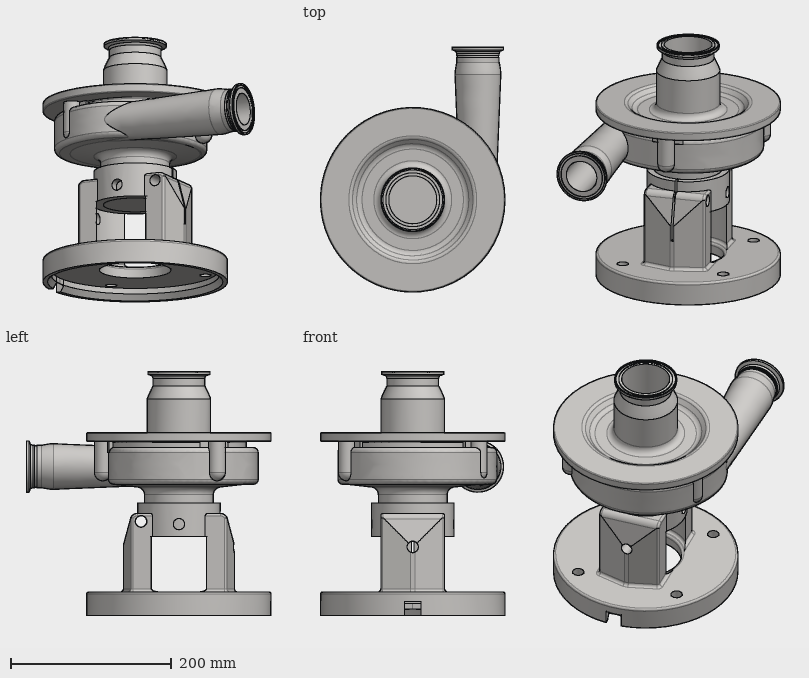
import cadquery as cq
import math


disc_radius = 115.0
base_height = 29.3
base_edge_round = 2.7
base_bore_radius = 44.5
base_bore_round = 3.0
bolt_hole_radius = 7.0
base_bolt_circle = 92.5
recess_radius = 104.3
recess_depth = 15.0
recess_chamfer_width = 5.0
recess_chamfer_height = 8.0
drain_width = 20.0
drain_height = 17.5

ring_radius = 51.5
ring_bottom = 98.2
ring_top = 140.3
spigot_radius = 39.5
ring_hole_height = 113.8
leg_top = 127.2
leg_half_width = 39.8
leg_reach = 69.2
leg_ridge_half_width = 2.7
leg_face_angle = 15.0
leg_slope_start = 87.5
leg_corner_round = 3.0
leg_top_round = 9.0
leg_foot_round = 4.0
leg_relief_radius = 52.5
leg_hole_height = 85.5
clamp_bolt_offset = 47.12
clamp_bolt_height = 117.0
slit_width = 2.7
slit_bottom = 67.0

neck_radius = 43.0
neck_fillet_bottom = 150.5
hub_radius = 51.5
hub_bottom = 159.8
volute_bottom = 163.2
volute_top = 209.2
volute_round = 6.5
volute_start_radius = 87.5
volute_end_radius = 104.5
tongue_radius = 94.5
cup_radius = 84.0
cup_fillet = 1.5

plate_bottom = 217.0
plate_top = 227.5
plate_edge_round = 1.2
dish_radius = 79.5
dish_wall_outer = 75.0
dish_wall_inner = 69.8
dish_floor_radius = 63.0
rim_rise = (dish_radius - dish_wall_outer) * math.tan(math.radians(22.5))
floor_rise = (dish_wall_inner - dish_floor_radius) * math.tan(math.radians(22.5))
plate_floor = plate_top - rim_rise - (dish_wall_outer - dish_wall_inner) - floor_rise
boss_circle = 94.7
boss_radius = 10.52
boss_end_height = 178.0
boss_angles = (90, 210, 330)
pad_radius = 21.5
pad_limit_radius = 89.5

swell_end = 34.0
swell_bulge = 0.45
flange_rim = 3.5
flange_taper_end = 5.2
flange_neck_end = 8.2
flange_neck_flare = 1.2
groove_depth = 1.2

inlet_top = 303.5
inlet_rim_radius = 38.7
inlet_tube_radius = 32.3
inlet_tube_length = 17.7
inlet_pipe_radius = 39.5
inlet_root_radius = 48.5
inlet_bore_radius = 30.0
inlet_groove_inner = 33.5
inlet_groove_outer = 37.2

outlet_x = 81.0
outlet_z = 185.5
outlet_end = 190.0
outlet_rim_radius = 32.0
outlet_tube_radius = 26.5
outlet_tube_length = 19.0
outlet_pipe_radius = 28.7
outlet_root_radius = 22.3
outlet_bore_radius = 19.8
outlet_groove_inner = 26.8
outlet_groove_outer = 30.0
seam_start = 10.5
seam_end = 13.0
seam_depth = 0.5


def cylinder(radius, bottom, top):
    return cq.Workplane("XY").workplane(offset=bottom).circle(radius).extrude(top - bottom)


def cross_hole(plane, origin, length):
    """Bolt hole along the normal of a plane, starting at the origin point."""
    return cq.Workplane(plane, origin=origin).circle(bolt_hole_radius).extrude(length)



def make_base():
    base = cylinder(disc_radius, 0, base_height).faces(">Z").edges().fillet(base_edge_round)
    recess = cq.Workplane("XZ").polyline([
        (0, 0),
        (recess_radius + recess_chamfer_width, 0),
        (recess_radius, recess_chamfer_height),
        (recess_radius, recess_depth),
        (0, recess_depth),
    ]).close().revolve(360, (0, 0, 0), (0, 1, 0))
    drain = cq.Workplane("XY").box(
        drain_width, disc_radius - recess_radius + 3, drain_height, centered=(True, False, False)
    ).translate((0, -disc_radius - 3, 0))
    return base.cut(recess).cut(drain)


def make_base_bore():
    """Cutter for the central bore, flaring out to leave a rounded top edge."""
    mouth_radius = base_bore_radius + base_bore_round
    arc_dip = base_bore_round * math.sin(math.radians(45))
    return (
        cq.Workplane("XZ")
        .lineTo(base_bore_radius, 0)
        .lineTo(base_bore_radius, base_height - base_bore_round)
        .threePointArc(
            (mouth_radius - arc_dip, base_height - base_bore_round + arc_dip),
            (mouth_radius, base_height),
        )
        .lineTo(0, base_height)
        .close()
        .revolve(360, (0, 0, 0), (0, 1, 0))
    )


def make_leg():
    """Leg on the -Y side: five-sided plan with a sloping top facet."""
    lean = math.tan(math.radians(leg_face_angle))
    shoulder = leg_reach - (leg_half_width - leg_ridge_half_width) * lean
    leg = cq.Workplane("XY").workplane(offset=base_height).polyline([
        (-leg_half_width, 0),
        (-leg_half_width, -shoulder),
        (-leg_ridge_half_width, -leg_reach),
        (leg_ridge_half_width, -leg_reach),
        (leg_half_width, -shoulder),
        (leg_half_width, 0),
    ]).close().extrude(leg_top - base_height)

    rise = leg_top - leg_slope_start
    slope = cq.Workplane("YZ", origin=(-leg_half_width, 0, 0)).polyline([
        (-leg_reach, leg_slope_start),
        (-leg_reach + rise * lean, leg_top),
        (-leg_reach, leg_top),
    ]).close().extrude(2 * leg_half_width)
    leg = leg.cut(slope)

    top_edge = cq.selectors.NearestToPointSelector((0, -leg_reach + rise * lean, leg_top))
    leg = leg.edges(top_edge).fillet(leg_top_round)
    outer_corners = cq.selectors.BoxSelector(
        (-disc_radius, -disc_radius, base_height + 3), (disc_radius, -3, leg_top + 3)
    )
    leg = leg.faces("<X or >X").edges(outer_corners).fillet(leg_corner_round)
    relief = cylinder(leg_relief_radius, base_height, ring_bottom)
    ring_space = cylinder(spigot_radius, ring_bottom, leg_top)
    return leg.cut(relief).cut(ring_space)


def make_bracket():
    bracket = make_base()
    for turn in (0, 180):
        bracket = bracket.union(make_leg().rotate((0, 0, 0), (0, 0, 1), turn))

    base_top = bracket.faces(cq.selectors.NearestToPointSelector((0, 0, base_height)))
    near_foot = cq.selectors.BoxSelector(
        (-disc_radius, -disc_radius, base_height - 0.3), (disc_radius, -3, base_height + 0.3)
    )
    far_foot = cq.selectors.BoxSelector(
        (-disc_radius, 3, base_height - 0.3), (disc_radius, disc_radius, base_height + 0.3)
    )
    bracket = base_top.edges(near_foot + far_foot).fillet(leg_foot_round)

    ring = cylinder(ring_radius, ring_bottom, ring_top)
    bracket = bracket.union(ring)
    bracket = bracket.cut(cylinder(spigot_radius, ring_bottom, ring_top))
    bracket = bracket.cut(make_base_bore())

    base_holes = cq.Workplane("XY").polarArray(base_bolt_circle, 45, 360, 4)
    bracket = bracket.cut(base_holes.circle(bolt_hole_radius).extrude(base_height))
    bracket = bracket.cut(cross_hole("YZ", (-disc_radius, 0, ring_hole_height), 2 * disc_radius))
    bracket = bracket.cut(cross_hole("XZ", (0, 0, leg_hole_height), disc_radius))
    clamp_start = (-disc_radius, clamp_bolt_offset, clamp_bolt_height)
    bracket = bracket.cut(cross_hole("YZ", clamp_start, 2 * disc_radius))

    slit = cq.Workplane("XY").box(
        slit_width, disc_radius, ring_top - slit_bottom, centered=(True, False, False)
    ).translate((0, 0, slit_bottom))
    return bracket.cut(slit)



def make_volute():
    """Casing whose radius grows steadily over three quarter turns, then closes at the tongue."""
    growth = (volute_end_radius - volute_start_radius) / 270
    outline = []
    for angle in range(90, 361, 30):
        radius = volute_start_radius + growth * (angle - 90)
        outline.append((radius, angle))
    outline.append((tongue_radius, 405))
    points = []
    for radius, angle in outline:
        turn = math.radians(angle)
        points.append((radius * math.cos(turn), radius * math.sin(turn)))
    volute = cq.Workplane("XY").workplane(offset=volute_bottom).spline(points, periodic=True).close()
    volute = volute.extrude(volute_top - volute_bottom)
    return volute.edges().fillet(volute_round)


def make_hub():
    """Shallow cone under the casing, the neck below it and the spigot in the clamp ring."""
    cone_radius = volute_start_radius - volute_round
    return (
        cq.Workplane("XZ")
        .moveTo(0, volute_bottom + 3)
        .lineTo(cone_radius, volute_bottom + 3)
        .lineTo(cone_radius, volute_bottom)
        .lineTo(hub_radius, hub_bottom)
        .tangentArcPoint((neck_radius, neck_fillet_bottom), relative=False)
        .lineTo(neck_radius, ring_top)
        .lineTo(spigot_radius, ring_top)
        .lineTo(spigot_radius, ring_bottom)
        .lineTo(0, ring_bottom)
        .close()
        .revolve(360, (0, 0, 0), (0, 1, 0))
    )


def make_plate():
    """Mounting plate with its dished recess, carried by a cup on top of the casing."""
    plate = cylinder(disc_radius, plate_bottom, plate_top).edges().fillet(plate_edge_round)
    plate = plate.union(cylinder(cup_radius, volute_top - 3, plate_bottom))
    underside = cq.selectors.BoxSelector(
        (-disc_radius, -disc_radius, plate_bottom - 0.3), (disc_radius, disc_radius, plate_bottom + 0.3)
    )
    plate = plate.edges(underside).edges(cq.selectors.RadiusNthSelector(0)).fillet(cup_fillet)
    dish = (
        cq.Workplane("XZ")
        .moveTo(0, plate_floor)
        .lineTo(dish_floor_radius, plate_floor)
        .tangentArcPoint((dish_wall_inner, plate_floor + floor_rise), relative=False)
        .lineTo(dish_wall_outer, plate_top - rim_rise)
        .tangentArcPoint((dish_radius, plate_top), relative=False)
        .lineTo(0, plate_top)
        .close()
        .revolve(360, (0, 0, 0), (0, 1, 0))
    )
    return plate.cut(dish)


def make_boss(angle):
    """Round-ended screw boss under the plate, with a low pad at its inner side."""
    end_dip = boss_radius * math.sin(math.radians(45))
    boss = (
        cq.Workplane("XZ")
        .moveTo(0, plate_bottom + plate_edge_round)
        .lineTo(boss_radius, plate_bottom + plate_edge_round)
        .lineTo(boss_radius, boss_end_height)
        .threePointArc((end_dip, boss_end_height - end_dip), (0, boss_end_height - boss_radius))
        .close()
        .revolve(360, (0, 0, 0), (0, 1, 0))
    )
    pad_bottom = volute_top - volute_round
    pad = cylinder(pad_radius, pad_bottom, plate_bottom).translate((boss_circle, 0, 0))
    pad = pad.intersect(cylinder(pad_limit_radius, pad_bottom, plate_bottom))
    boss = boss.rotate((0, 0, 0), (0, 0, 1), 180).translate((boss_circle, 0, 0))
    return boss.union(pad).rotate((0, 0, 0), (0, 0, 1), angle)


def make_pipe(rim_radius, tube_radius, tube_length, body_radius, end_radius, length):
    """Pipe along Z with its clamp flange face at height 0: a tube that swells into a wider body."""
    return (
        cq.Workplane("XZ")
        .lineTo(rim_radius, 0)
        .lineTo(rim_radius, -flange_rim)
        .lineTo(tube_radius + flange_neck_flare, -flange_taper_end)
        .lineTo(tube_radius, -flange_neck_end)
        .lineTo(tube_radius, -tube_length)
        .threePointArc(
            ((tube_radius + body_radius) / 2 + swell_bulge, -(tube_length + swell_end) / 2),
            (body_radius, -swell_end),
        )
        .lineTo(end_radius, -length)
        .lineTo(0, -length)
        .close()
        .revolve(360, (0, 0, 0), (0, 1, 0))
    )


def make_passage(bore_radius, groove_inner, groove_outer, depth):
    """Blind bore and the gasket groove in the flange face at height 0."""
    groove = cylinder(groove_outer, -groove_depth, 0).cut(cylinder(groove_inner, -groove_depth, 0))
    return cylinder(bore_radius, -depth, 0).union(groove)


def make_inlet_root():
    """Concave flare where the inlet pipe meets the floor of the dish."""
    flare = inlet_root_radius - inlet_pipe_radius
    arc_dip = flare * math.sin(math.radians(45))
    return (
        cq.Workplane("XZ")
        .moveTo(0, plate_floor)
        .lineTo(inlet_root_radius, plate_floor)
        .threePointArc(
            (inlet_root_radius - arc_dip, plate_floor + flare - arc_dip),
            (inlet_pipe_radius, plate_floor + flare),
        )
        .lineTo(0, plate_floor + flare)
        .close()
        .revolve(360, (0, 0, 0), (0, 1, 0))
    )


def place_outlet(shape):
    """Turn a pipe so that its flange faces +Y and move it to the outlet."""
    return shape.rotate((0, 0, 0), (1, 0, 0), -90).translate((outlet_x, outlet_end, outlet_z))


def make_pump():
    pump = make_volute().union(make_hub()).union(make_plate())
    for angle in boss_angles:
        pump = pump.union(make_boss(angle))

    inlet = make_pipe(
        inlet_rim_radius, inlet_tube_radius, inlet_tube_length,
        inlet_pipe_radius, inlet_pipe_radius, inlet_top - plate_floor,
    ).translate((0, 0, inlet_top))
    outlet = make_pipe(
        outlet_rim_radius, outlet_tube_radius, outlet_tube_length,
        outlet_pipe_radius, outlet_root_radius, outlet_end,
    )
    seam = cylinder(outlet_tube_radius + 3, -seam_end, -seam_start)
    seam = seam.cut(cylinder(outlet_tube_radius - seam_depth, -seam_end, -seam_start))
    outlet = outlet.cut(seam)
    pump = pump.union(inlet).union(make_inlet_root()).union(place_outlet(outlet))

    inlet_passage = make_passage(
        inlet_bore_radius, inlet_groove_inner, inlet_groove_outer, inlet_top - outlet_z
    ).translate((0, 0, inlet_top))
    outlet_passage = make_passage(
        outlet_bore_radius, outlet_groove_inner, outlet_groove_outer, outlet_end
    )
    return pump.cut(inlet_passage).cut(place_outlet(outlet_passage))


bracket = make_bracket()
pump = make_pump()
result = cq.Compound.makeCompound([bracket.val(), pump.val()])